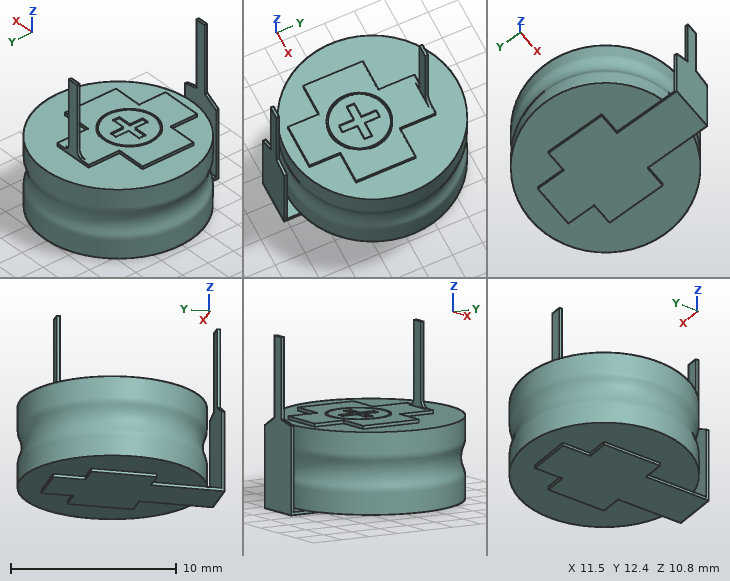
import cadquery as cq
import math

BODY_DIAMETER = 11.5
BODY_HEIGHT = 5.1
BODY_RADIUS = BODY_DIAMETER / 2

WAIST_DEPTH = 0.25
WAIST_HALF_HEIGHT = 1.18
WAIST_LIP_RADIUS = 1.0

SHEET = 0.2
TAB_WIDTH = 3.0
PIN_WIDTH = 0.8
PIN_PITCH = 10.0
PIN_TOP_Z = 10.6
FRONT_FACE_Y = -6.65

TOP_TAB_BACK_Y = FRONT_FACE_Y + PIN_PITCH + SHEET
TOP_TAB_LENGTH = 8.5
TOP_ARM_SPAN = 7.4
TOP_ARM_WIDTH = 4.0
TOP_ARM_Y = -0.87
TOP_FACE_Z = BODY_HEIGHT + SHEET
PIN_ROOT_RADIUS = 0.5

RING_OUTER_DIAMETER = 4.0
RING_INNER_DIAMETER = 3.8
RING_DEPTH = 0.1
PLUS_SPAN = 2.5
PLUS_BAR_WIDTH = 0.5
PLUS_DEPTH = 0.1

BOTTOM_TAB_BACK_Y = 4.05
BOTTOM_ARM_SPAN = 6.0
BOTTOM_ARM_WIDTH = 4.1
LEFT_SHOULDER_Z = 4.9
RIGHT_SHOULDER_Z = 5.3
FRONT_PIN_ROOT_Z = 5.55


def make_body():
    """Revolve the body, with tangent convex-concave-convex arcs at the waist."""
    middle_z = BODY_HEIGHT / 2
    sweep = 2 * math.atan(WAIST_DEPTH / WAIST_HALF_HEIGHT)
    floor_radius = BODY_RADIUS - WAIST_DEPTH
    lip_inset = WAIST_LIP_RADIUS * (1 - math.cos(sweep))
    lip_rise = WAIST_LIP_RADIUS * math.sin(sweep)
    lip_mid_inset = WAIST_LIP_RADIUS * (1 - math.cos(sweep / 2))
    lip_mid_rise = WAIST_LIP_RADIUS * math.sin(sweep / 2)
    low_z = middle_z - WAIST_HALF_HEIGHT
    high_z = middle_z + WAIST_HALF_HEIGHT
    join_radius = BODY_RADIUS - lip_inset

    profile = (
        cq.Workplane("XZ")
        .moveTo(0, 0)
        .lineTo(BODY_RADIUS, 0)
        .lineTo(BODY_RADIUS, low_z)
        .threePointArc(
            (BODY_RADIUS - lip_mid_inset, low_z + lip_mid_rise),
            (join_radius, low_z + lip_rise),
        )
        .threePointArc((floor_radius, middle_z), (join_radius, high_z - lip_rise))
        .threePointArc(
            (BODY_RADIUS - lip_mid_inset, high_z - lip_mid_rise),
            (BODY_RADIUS, high_z),
        )
        .lineTo(BODY_RADIUS, BODY_HEIGHT)
        .lineTo(0, BODY_HEIGHT)
        .close()
    )
    return profile.revolve(360, (0, 0), (0, 1))


def plate(width, front_y, back_y, bottom_z, thickness):
    """Flat rectangular plate centred on X = 0."""
    return (
        cq.Workplane("XY", origin=(0, (front_y + back_y) / 2, bottom_z))
        .rect(width, back_y - front_y)
        .extrude(thickness)
    )


def cross_arm(span, width, center_y, bottom_z):
    """Crosswise arm of a terminal."""
    return plate(span, center_y - width / 2, center_y + width / 2, bottom_z, SHEET)


def make_top_terminal():
    """Cross plate on the top face."""
    tab = plate(TAB_WIDTH, TOP_TAB_BACK_Y - TOP_TAB_LENGTH, TOP_TAB_BACK_Y, BODY_HEIGHT, SHEET)
    return tab.union(cross_arm(TOP_ARM_SPAN, TOP_ARM_WIDTH, TOP_ARM_Y, BODY_HEIGHT))


def make_rear_pin():
    """Upright pin at the back of the top terminal, flaring out at its root."""
    half_pin = PIN_WIDTH / 2
    half_root = half_pin + PIN_ROOT_RADIUS
    flare_top_z = TOP_FACE_Z + PIN_ROOT_RADIUS
    return (
        cq.Workplane("XZ", origin=(0, TOP_TAB_BACK_Y, 0))
        .moveTo(-half_root, BODY_HEIGHT)
        .lineTo(half_root, BODY_HEIGHT)
        .lineTo(half_root, TOP_FACE_Z)
        .radiusArc((half_pin, flare_top_z), PIN_ROOT_RADIUS)
        .lineTo(half_pin, PIN_TOP_Z)
        .lineTo(-half_pin, PIN_TOP_Z)
        .lineTo(-half_pin, flare_top_z)
        .radiusArc((-half_root, TOP_FACE_Z), PIN_ROOT_RADIUS)
        .close()
        .extrude(SHEET)
    )


def make_button_cuts():
    """Narrow ring groove and plus-shaped recess cut into the top terminal."""
    button_plane = cq.Workplane("XY", origin=(0, TOP_ARM_Y, TOP_FACE_Z))
    ring_outline = button_plane.circle(RING_OUTER_DIAMETER / 2).circle(RING_INNER_DIAMETER / 2)
    cuts = ring_outline.extrude(-RING_DEPTH)
    for size_x, size_y in ((PLUS_SPAN, PLUS_BAR_WIDTH), (PLUS_BAR_WIDTH, PLUS_SPAN)):
        cuts = cuts.union(button_plane.rect(size_x, size_y).extrude(-PLUS_DEPTH))
    return cuts


def make_bottom_terminal():
    """Cross plate under the body, running forward to the upright plate."""
    tab = plate(TAB_WIDTH, FRONT_FACE_Y, BOTTOM_TAB_BACK_Y, -SHEET, SHEET)
    return tab.union(cross_arm(BOTTOM_ARM_SPAN, BOTTOM_ARM_WIDTH, 0, -SHEET))


def make_front_plate():
    """Upright plate with unequal sloping shoulders and a pin."""
    half_tab = TAB_WIDTH / 2
    half_pin = PIN_WIDTH / 2
    outline = [
        (-half_tab, -SHEET),
        (half_tab, -SHEET),
        (half_tab, RIGHT_SHOULDER_Z),
        (half_pin, FRONT_PIN_ROOT_Z),
        (half_pin, PIN_TOP_Z),
        (-half_pin, PIN_TOP_Z),
        (-half_pin, FRONT_PIN_ROOT_Z),
        (-half_tab, LEFT_SHOULDER_Z),
    ]
    return (
        cq.Workplane("XZ", origin=(0, FRONT_FACE_Y + SHEET, 0))
        .polyline(outline)
        .close()
        .extrude(SHEET)
    )


result = (
    make_body()
    .union(make_top_terminal())
    .union(make_rear_pin())
    .union(make_bottom_terminal())
    .union(make_front_plate())
    .cut(make_button_cuts())
)